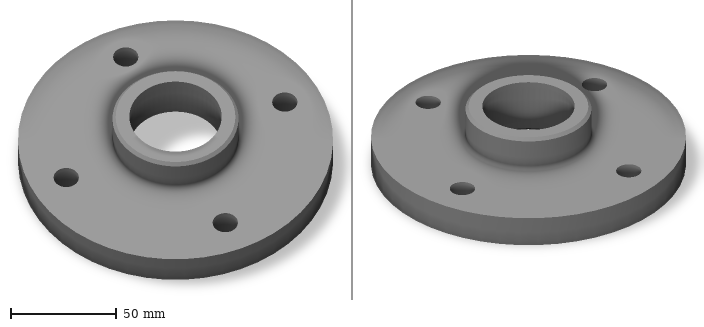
import cadquery as cq
import math

flange_diameter = 150.0
flange_thickness = 15.0

total_height = 32.0
hub_diameter = 60.0
hub_chamfer = 1.5
hub_root_fillet = 2.0

bore_diameter = 44.0
counterbore_depth = 10.0
counterbore_diameter = 60.0
counterbore_chamfer = 1.5

bolt_count = 4
bolt_hole_diameter = 12.0
bolt_circle_diameter = 114.3


def make_body():
    """Disc and hub revolved about Z, with a chamfered rim and a filleted hub root."""
    flange_radius = flange_diameter / 2
    hub_radius = hub_diameter / 2
    fillet_mid_offset = hub_root_fillet * (1 - math.sqrt(0.5))
    return (
        cq.Workplane("XZ")
        .lineTo(flange_radius, 0)
        .lineTo(flange_radius, flange_thickness)
        .lineTo(hub_radius + hub_root_fillet, flange_thickness)
        .threePointArc(
            (hub_radius + fillet_mid_offset, flange_thickness + fillet_mid_offset),
            (hub_radius, flange_thickness + hub_root_fillet),
        )
        .lineTo(hub_radius, total_height - hub_chamfer)
        .lineTo(hub_radius - hub_chamfer, total_height)
        .lineTo(0, total_height)
        .close()
        .revolve(360, (0, 0, 0), (0, 1, 0))
    )


def cut_bore(body):
    """Through bore, widened at the base by a counterbore with a chamfered mouth."""
    bore_radius = bore_diameter / 2
    bore = cq.Workplane("XY").circle(bore_radius).extrude(total_height)
    counterbore_radius = counterbore_diameter / 2
    counterbore = cq.Workplane("XY").circle(counterbore_radius).extrude(counterbore_depth)
    mouth_radius = counterbore_radius + counterbore_chamfer
    mouth = cq.Solid.makeCone(mouth_radius, counterbore_radius, counterbore_chamfer)
    return body.cut(bore).cut(counterbore).cut(cq.Workplane(mouth))


def cut_bolt_holes(body):
    """Equally spaced through holes, the first on the +X axis."""
    holes = (
        cq.Workplane("XY")
        .polarArray(bolt_circle_diameter / 2, 0, 360, bolt_count)
        .circle(bolt_hole_diameter / 2)
        .extrude(flange_thickness)
    )
    return body.cut(holes)


result = cut_bolt_holes(cut_bore(make_body()))